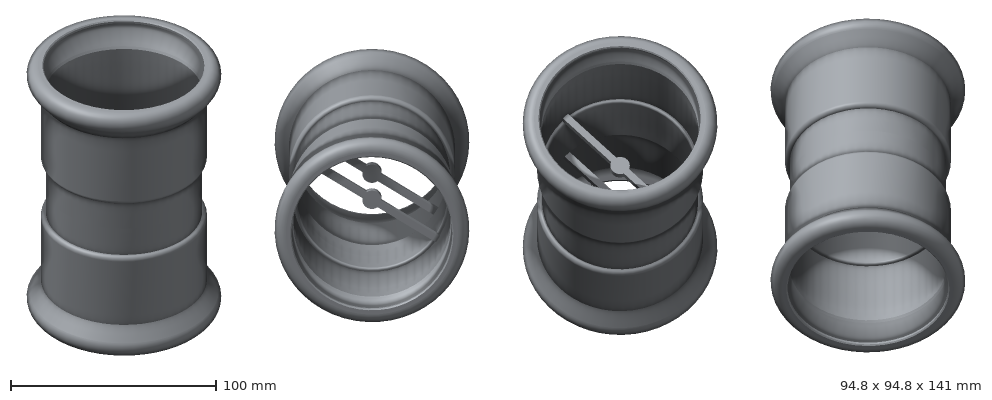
import cadquery as cq
import math

LENGTH = 141.0
HALF_LENGTH = LENGTH / 2
NECK_OUTER_R = 76.1 / 2
NECK_BORE_R = 73.0 / 2
SOCKET_OUTER_R = 81.0 / 2
SOCKET_BORE_R = 76.7 / 2
FLOOR_INNER_R = 75.2 / 2
MOUTH_R = 78.3 / 2
MOUTH_CHAMFER = 0.5

BEAD_OUTER_R = 94.8 / 2
BEAD_RADIUS = 5.5
BEAD_WALL = 1.7
FLARE_DEPTH = 16.0
INNER_CONE_DEPTH = 15.1
INNER_SEAT_DEPTH = 16.2

SHOULDER_DEPTH = 55.3
SHOULDER_ROUND = 2.4
FLOOR_DEPTH = 53.0

STOP_END_R = 76.1 / 2
BAR_WIDTH = 3.5
STOP_HEIGHT = 3.5
BOSS_DIAMETER = 9.5


def cone_tangent(section_radius, foot_r, foot_depth):
    """Bead arc points (r, depth): the outermost point, and where a line to the cone foot is tangent."""
    center_r = BEAD_OUTER_R - BEAD_RADIUS
    center_depth = BEAD_RADIUS
    dr = foot_r - center_r
    dd = foot_depth - center_depth
    angle = math.atan2(dd, dr) - math.acos(section_radius / math.hypot(dr, dd))
    tangent = (center_r + section_radius * math.cos(angle), center_depth + section_radius * math.sin(angle))
    return (center_r + section_radius, center_depth), tangent


def from_end(point):
    """Turn (radius, depth below the upper end face) into (radius, Z)."""
    radius, depth = point
    return radius, HALF_LENGTH - depth


def make_sleeve():
    """Sleeve wall: the upper half of its section mirrored about the mid plane and revolved about Z."""
    center_r = BEAD_OUTER_R - BEAD_RADIUS
    inner_radius = BEAD_RADIUS - BEAD_WALL
    outer_side, outer_tangent = cone_tangent(BEAD_RADIUS, SOCKET_OUTER_R, FLARE_DEPTH)
    inner_side, inner_tangent = cone_tangent(inner_radius, MOUTH_R, INNER_CONE_DEPTH)
    round_mid = SHOULDER_ROUND * math.sqrt(0.5)
    round_start_depth = SHOULDER_DEPTH - SHOULDER_ROUND
    round_end_r = SOCKET_OUTER_R - SHOULDER_ROUND
    edge_round = FLOOR_INNER_R - NECK_BORE_R
    edge_mid = edge_round * math.sqrt(0.5)
    profile = (
        cq.Workplane("XZ")
        .moveTo(NECK_OUTER_R, 0)
        .lineTo(*from_end((NECK_OUTER_R, SHOULDER_DEPTH)))
        .threePointArc(
            from_end((round_end_r + round_mid, round_start_depth + round_mid)),
            from_end((SOCKET_OUTER_R, round_start_depth)),
        )
        .lineTo(*from_end((SOCKET_OUTER_R, FLARE_DEPTH)))
        .lineTo(*from_end(outer_tangent))
        .threePointArc(from_end(outer_side), from_end((center_r, 0)))
        .lineTo(*from_end((MOUTH_R + MOUTH_CHAMFER, 0)))
        .lineTo(*from_end((MOUTH_R, MOUTH_CHAMFER)))
        .lineTo(*from_end((MOUTH_R, BEAD_WALL)))
        .lineTo(*from_end((center_r, BEAD_WALL)))
        .threePointArc(from_end(inner_side), from_end(inner_tangent))
        .lineTo(*from_end((MOUTH_R, INNER_CONE_DEPTH)))
        .lineTo(*from_end((SOCKET_BORE_R, INNER_SEAT_DEPTH)))
        .lineTo(*from_end((SOCKET_BORE_R, FLOOR_DEPTH)))
        .lineTo(*from_end((FLOOR_INNER_R, FLOOR_DEPTH)))
        .threePointArc(
            from_end((FLOOR_INNER_R - edge_mid, FLOOR_DEPTH + edge_round - edge_mid)),
            from_end((NECK_BORE_R, FLOOR_DEPTH + edge_round)),
        )
        .lineTo(NECK_BORE_R, 0)
        .mirrorX()
    )
    return profile.revolve(360, (0, 0, 0), (0, 1, 0))


def make_stop():
    """Stop for the upper socket, its bar resting on the socket floor."""
    base = cq.Workplane("XY", origin=(0, 0, HALF_LENGTH - FLOOR_DEPTH))
    bar = base.rect(2 * STOP_END_R, BAR_WIDTH).extrude(STOP_HEIGHT)
    bar = bar.intersect(base.circle(STOP_END_R).extrude(STOP_HEIGHT))
    boss = base.circle(BOSS_DIAMETER / 2).extrude(STOP_HEIGHT)
    return bar.union(boss)


sleeve = make_sleeve()
stops = []
for turn in (0, 180):
    stops.append(make_stop().rotate((0, 0, 0), (1, 0, 0), turn))

result = cq.Compound.makeCompound([sleeve.val(), *[stop.val() for stop in stops]])